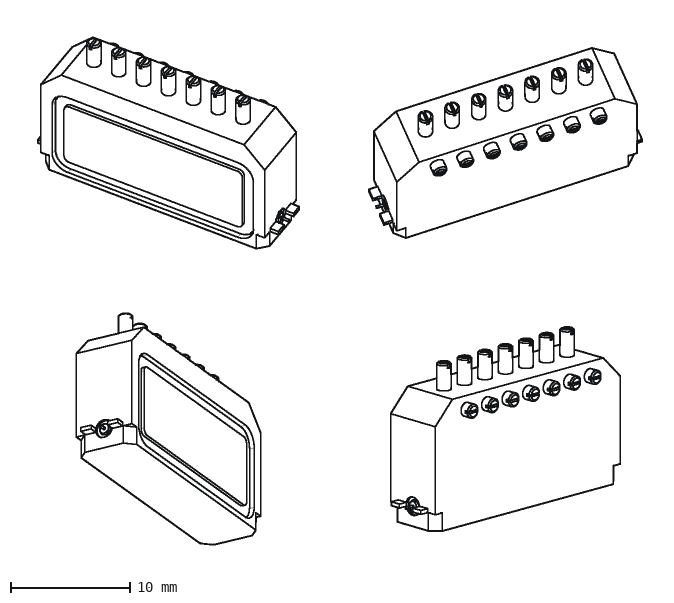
import cadquery as cq

overall_length = 23.2
body_length = 21.6
body_depth = 5.4
body_height = 11.3
shoulder = 2.0

relief_length = 0.81
relief_depth = 0.84
relief_height = 1.6

pocket_length = 19.4
pocket_height = 8.5
pocket_bottom = 0.5
pocket_radius = 1.5
cover_gap = 0.1
cover_setback = 0.4
groove_depth = 0.6
pad_inset = 1.0
pad_thickness = 0.3
pad_radius = 0.5

screw_count = 7
screw_row_length = 14.38
screw_diameter = 1.2
screw_chamfer = 0.15
slot_width = 0.2
slot_depth = 0.4
top_screw_height = 2.35
back_screw_height = 0.9
back_screw_z = 10.1

tab_thickness = 0.35
tab_outer_y = 1.79
port_diameter = 1.6
port_depth = 0.2
hub_diameter = 1.0
hub_tip_diameter = 0.85
pin_diameter = 0.2

screw_pitch = screw_row_length / (screw_count - 1)
front_y = -body_depth / 2
back_y = body_depth / 2
end_x = body_length / 2
lead_length = (overall_length - body_length) / 2
port_z = relief_height + tab_thickness / 2
pocket_z = pocket_bottom + pocket_height / 2


def housing():
    """Block with chamfered shoulders and relieved lower corners."""
    block = cq.Workplane("XY").box(body_length, body_depth, body_height, centered=(True, True, False))
    block = block.faces(">Z").edges("|Y").chamfer(shoulder)
    for side_x in (-1, 1):
        for side_y in (-1, 1):
            corner = (side_x * end_x, side_y * back_y)
            relief = (
                cq.Workplane("XY")
                .moveTo(*corner)
                .lineTo(corner[0] - side_x * relief_length, corner[1])
                .lineTo(corner[0], corner[1] - side_y * relief_depth)
                .close()
                .extrude(relief_height)
            )
            block = block.cut(relief)
    return block


def rounded_plate(inset, radius, setback, thickness):
    """Plate concentric with the pocket; its front surface lies `setback` behind the front face."""
    return (
        cq.Workplane("XZ", origin=(0, front_y + setback, pocket_z))
        .rect(pocket_length - 2 * inset, pocket_height - 2 * inset)
        .extrude(-thickness)
        .edges("|Y")
        .fillet(radius)
    )


def screw(height):
    """Slotted screw end standing on the XY plane, with its slot along Y."""
    stud = cq.Workplane("XY").circle(screw_diameter / 2).extrude(height).faces(">Z").chamfer(screw_chamfer)
    slot = (
        cq.Workplane("XY", origin=(0, 0, height - slot_depth))
        .box(slot_width, screw_diameter, slot_depth, centered=(True, True, False))
    )
    return stud.cut(slot)


def end_disc(diameter, start_x, length):
    """Cylinder along +X on the port axis."""
    return cq.Workplane("YZ", origin=(start_x, 0, port_z)).circle(diameter / 2).extrude(length)


def port_cavity():
    """Annular recess round the tapered hub on the +X end."""
    hub = (
        cq.Workplane("YZ", origin=(end_x - port_depth, 0, port_z))
        .circle(hub_diameter / 2)
        .workplane(offset=port_depth)
        .circle(hub_tip_diameter / 2)
        .loft()
    )
    return end_disc(port_diameter, end_x - port_depth, port_depth).cut(hub)


def terminals():
    """Centre pin and two ground tabs on the +X end."""
    leads = end_disc(pin_diameter, end_x - port_depth, lead_length + port_depth)
    tab_inner_y = port_diameter / 2
    for side in (-1, 1):
        tab = cq.Workplane("XY").box(lead_length, tab_outer_y - tab_inner_y, tab_thickness)
        tab_y = side * (tab_inner_y + tab_outer_y) / 2
        leads = leads.union(tab.translate((end_x + lead_length / 2, tab_y, port_z)))
    return leads


result = housing()

result = result.cut(rounded_plate(0, pocket_radius, 0, groove_depth))
cover_radius = pocket_radius - cover_gap
result = result.union(rounded_plate(cover_gap, cover_radius, cover_setback, groove_depth - cover_setback))
pad_setback = cover_setback - pad_thickness
result = result.union(rounded_plate(cover_gap + pad_inset, pad_radius, pad_setback, pad_thickness))

top_screw = screw(top_screw_height)
back_screw = screw(back_screw_height).rotate((0, 0, 0), (0, 0, 1), 90).rotate((0, 0, 0), (1, 0, 0), -90)
for index in range(screw_count):
    screw_x = (index - (screw_count - 1) / 2) * screw_pitch
    result = result.union(top_screw.translate((screw_x, 0, body_height)))
    result = result.union(back_screw.translate((screw_x, back_y, back_screw_z)))

cavity = port_cavity()
leads = terminals()
result = result.cut(cavity).cut(cavity.mirror("YZ"))
result = result.union(leads).union(leads.mirror("YZ"))